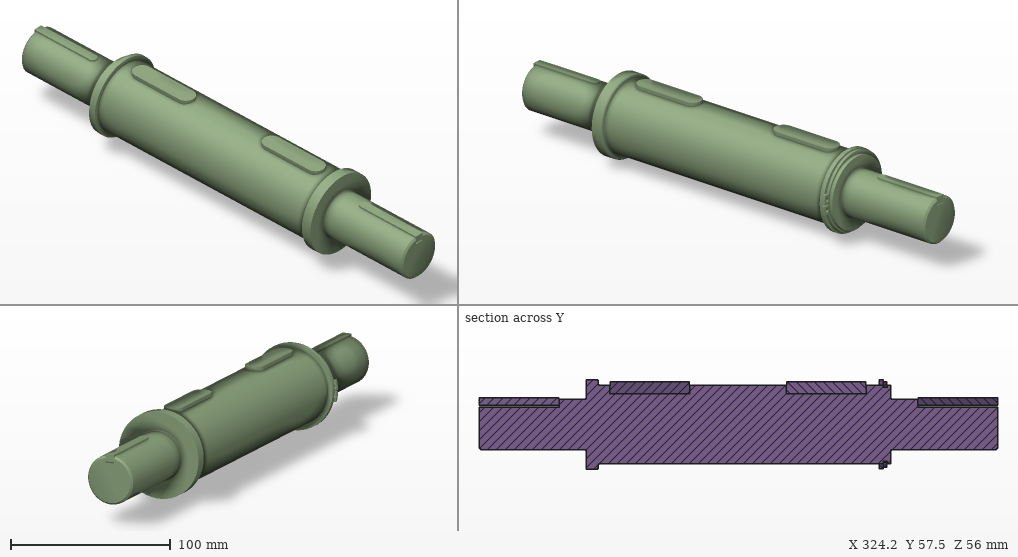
import cadquery as cq
import math

TOTAL_LENGTH = 324.2
JOURNAL_DIAMETER = 31.8
BODY_DIAMETER = 49.3
FLANGE_DIAMETER = 56.0
BODY_START = 66.8
FLANGE_START = 249.5
FLANGE_END = 257.5
END_CHAMFER = 1.3
FLANGE_CHAMFER = 0.5
SHOULDER_FILLET = 1.0

RING_START = 69.5
RING_THICKNESS = 2.0
RING_BORE_DIAMETER = 46.7
RING_OUTER_RADIUS = 27.0
OVERALL_DEPTH = 57.5
EAR_PAIR_WIDTH = 14.0
RING_GAP = 1.0
EAR_HOLE_DIAMETER = 3.0
EAR_HOLE_SPACING = 7.0
EAR_HOLE_Y = 26.5
WASHER_THICKNESS = 3.0

KEY_LENGTH = 50.0
BODY_KEY_WIDTH = 12.5
BODY_KEY_TOP = 27.0
BODY_KEY_BOTTOM = 19.5
BODY_KEY_STARTS = (82.5, 192.5)
END_KEY_WIDTH = 6.0
END_KEY_TOP = 17.0
END_KEY_BOTTOM = 12.0
END_KEYWAY_FLOOR = 11.0

journal_radius = JOURNAL_DIAMETER / 2
body_radius = BODY_DIAMETER / 2
flange_radius = FLANGE_DIAMETER / 2
ring_offset = flange_radius - RING_OUTER_RADIUS
ear_reach = OVERALL_DEPTH - flange_radius
washer_start = RING_START + RING_THICKNESS


def disc(start, thickness, diameter):
    """Disc on the shaft axis, from X = start."""
    return cq.Workplane("YZ", origin=(start, 0, 0)).circle(diameter / 2).extrude(thickness)


def annulus(start, thickness, outer_diameter, bore_diameter):
    return disc(start, thickness, outer_diameter).cut(disc(start, thickness, bore_diameter))


def round_ended_bar(start, width, bottom, top):
    """Key-length bar along X with both ends round."""
    return (
        cq.Workplane("XY", origin=(start + KEY_LENGTH / 2, 0, bottom))
        .slot2D(KEY_LENGTH, width)
        .extrude(top - bottom)
    )


def square_ended_bar(shaft_end, inward, bottom, top):
    """Bar with a square end at the shaft end and a round inner end; inward is +1 or -1 along X."""
    half_width = END_KEY_WIDTH / 2
    inner_end = shaft_end + inward * KEY_LENGTH
    arc_start = inner_end - inward * half_width
    return (
        cq.Workplane("XY", origin=(0, 0, bottom))
        .moveTo(shaft_end, -half_width)
        .lineTo(arc_start, -half_width)
        .threePointArc((inner_end, 0), (arc_start, half_width))
        .lineTo(shaft_end, half_width)
        .close()
        .extrude(top - bottom)
    )


def make_body_key(start):
    return round_ended_bar(start, BODY_KEY_WIDTH, BODY_KEY_BOTTOM, BODY_KEY_TOP)


def make_end_key(shaft_end, inward):
    return square_ended_bar(shaft_end, inward, END_KEY_BOTTOM, END_KEY_TOP)


def make_end_keyway(shaft_end, inward):
    """Cutter for an end keyway, slightly deeper than its key."""
    return square_ended_bar(shaft_end, inward, END_KEYWAY_FLOOR, END_KEY_TOP)


def make_washer():
    return annulus(washer_start, WASHER_THICKNESS, FLANGE_DIAMETER, BODY_DIAMETER)


def make_retaining_ring():
    """Eccentric open ring, thickest opposite its gap, with two drilled ears at the gap."""
    plane = cq.Workplane("YZ", origin=(RING_START, 0, 0))
    rim = plane.center(-ring_offset, 0).circle(RING_OUTER_RADIUS).extrude(RING_THICKNESS)
    ear_strip = plane.center(ear_reach / 2, 0).rect(ear_reach, EAR_PAIR_WIDTH).extrude(RING_THICKNESS)
    ears = ear_strip.intersect(disc(RING_START, RING_THICKNESS, 2 * ear_reach))
    gap = plane.center(ear_reach / 2, 0).rect(ear_reach, RING_GAP).extrude(RING_THICKNESS)
    hole_centers = [(EAR_HOLE_Y, side * EAR_HOLE_SPACING / 2) for side in (-1, 1)]
    holes = plane.pushPoints(hole_centers).circle(EAR_HOLE_DIAMETER / 2).extrude(RING_THICKNESS)
    bore = disc(RING_START, RING_THICKNESS, RING_BORE_DIAMETER)
    return rim.union(ears).cut(bore).cut(gap).cut(holes)


def make_turned_shaft():
    """Shaft before grooving: chamfered ends, and a fillet at the foot of each shoulder."""
    fillet = SHOULDER_FILLET
    mid = fillet * (1 - math.sqrt(0.5))
    return (
        cq.Workplane("XZ")
        .moveTo(0, 0)
        .lineTo(0, journal_radius - END_CHAMFER)
        .lineTo(END_CHAMFER, journal_radius)
        .lineTo(BODY_START - fillet, journal_radius)
        .threePointArc((BODY_START - mid, journal_radius + mid), (BODY_START, journal_radius + fillet))
        .lineTo(BODY_START, body_radius)
        .lineTo(FLANGE_START - fillet, body_radius)
        .threePointArc((FLANGE_START - mid, body_radius + mid), (FLANGE_START, body_radius + fillet))
        .lineTo(FLANGE_START, flange_radius - FLANGE_CHAMFER)
        .lineTo(FLANGE_START + FLANGE_CHAMFER, flange_radius)
        .lineTo(FLANGE_END, flange_radius)
        .lineTo(FLANGE_END, journal_radius + fillet)
        .threePointArc((FLANGE_END + mid, journal_radius + mid), (FLANGE_END + fillet, journal_radius))
        .lineTo(TOTAL_LENGTH - END_CHAMFER, journal_radius)
        .lineTo(TOTAL_LENGTH, journal_radius - END_CHAMFER)
        .lineTo(TOTAL_LENGTH, 0)
        .close()
        .revolve(360, (0, 0, 0), (1, 0, 0))
    )


def make_shaft(body_keys, end_keyways):
    """Turned shaft with the ring groove and the four keyways cut."""
    shaft = make_turned_shaft()
    shaft = shaft.cut(annulus(RING_START, RING_THICKNESS, BODY_DIAMETER, RING_BORE_DIAMETER))
    for cutter in body_keys + end_keyways:
        shaft = shaft.cut(cutter)
    return shaft


shaft_ends = [(0, 1), (TOTAL_LENGTH, -1)]

body_keys = [make_body_key(start) for start in BODY_KEY_STARTS]
end_keys = [make_end_key(*end) for end in shaft_ends]
end_keyways = [make_end_keyway(*end) for end in shaft_ends]
shaft = make_shaft(body_keys, end_keyways)
washer = make_washer()
retaining_ring = make_retaining_ring()

result = cq.Compound.makeCompound(
    [shaft.val(), washer.val(), retaining_ring.val(), *[key.val() for key in body_keys + end_keys]]
)